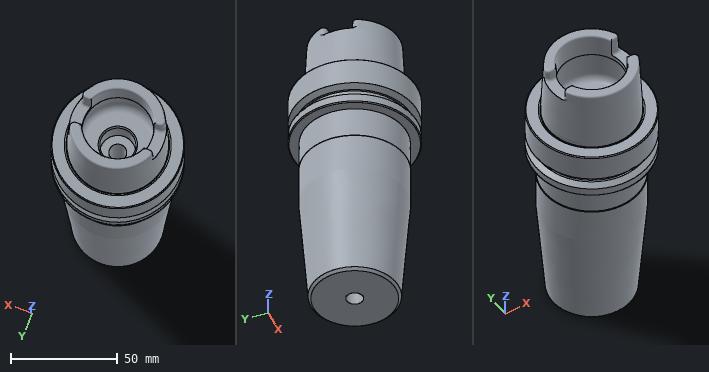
import cadquery as cq
import math

shank_length = 32.0
tool_end_z = -120.0

taper_base_diameter = 48.3
taper_base_z = 2.2
taper_ratio = 1 / 10
shank_edge_fillet = 1.0

relief_diameter = 48.04
relief_slope_height = 1.4
face_recess_diameter = 50.4
face_recess_depth = 0.5
face_recess_slope_width = 0.8

flange_diameter = 63.0
flange_bottom_z = -26.0
flange_edge_chamfer = 0.5
groove_diameter = 55.0
groove_top_z = -14.4
groove_bottom_z = -21.3
groove_lip_diameter = 57.0
groove_flank_angle = 30.0

neck_diameter = 52.5
neck_bottom_z = -42.0
body_diameter = 53.0
body_step_height = 0.4
cone_top_z = -62.8
cone_end_diameter = 44.0
tool_end_chamfer = 1.3

mouth_diameter = 34.0
mouth_depth = 12.4
clamp_diameter = 40.0
clamp_angle = 30.0
bore_depth = 32.0
bore_floor_fillet = 4.0

counterbore_diameter = 17.0
counterbore_depth = 12.0
counterbore_mouth_diameter = 18.5
through_diameter = 8.4

slot_width = 12.54
slot_depth_minus_x = 6.0
slot_depth_plus_x = 10.0
slot_corner_radius = 2.3
slot_floor_fillet = 1.5


def taper_radius(z):
    """Shank radius at height z."""
    return (taper_base_diameter - (z - taper_base_z) * taper_ratio) / 2


def make_body():
    """Outer shape, revolved about Z."""
    base_radius = taper_base_diameter / 2
    recess_radius = face_recess_diameter / 2
    flange_radius = flange_diameter / 2
    groove_radius = groove_diameter / 2
    lip_radius = groove_lip_diameter / 2
    flank_height = (flange_radius - lip_radius) * math.tan(math.radians(groove_flank_angle))
    end_radius = cone_end_diameter / 2
    outline = [
        (0, shank_length),
        (taper_radius(shank_length), shank_length),
        (base_radius, taper_base_z),
        (relief_diameter / 2, taper_base_z - relief_slope_height),
        (relief_diameter / 2, -face_recess_depth),
        (recess_radius - face_recess_slope_width, -face_recess_depth),
        (recess_radius, 0),
        (flange_radius - flange_edge_chamfer, 0),
        (flange_radius, -flange_edge_chamfer),
        (flange_radius, groove_top_z),
        (lip_radius, groove_top_z - flank_height),
        (groove_radius, groove_top_z - flank_height),
        (groove_radius, groove_bottom_z + flank_height),
        (lip_radius, groove_bottom_z + flank_height),
        (flange_radius, groove_bottom_z),
        (flange_radius, flange_bottom_z + flange_edge_chamfer),
        (flange_radius - flange_edge_chamfer, flange_bottom_z),
        (neck_diameter / 2, flange_bottom_z),
        (neck_diameter / 2, neck_bottom_z),
        (body_diameter / 2, neck_bottom_z - body_step_height),
        (body_diameter / 2, cone_top_z),
        (end_radius, tool_end_z),
        (0, tool_end_z),
    ]
    body = cq.Workplane("XZ").polyline(outline).close().revolve(360, (0, 0, 0), (0, 1, 0))
    return body.faces("<Z").edges().chamfer(tool_end_chamfer)


def make_bore():
    """Clamping bore, coolant counterbore and through hole, revolved about Z."""
    mouth_radius = mouth_diameter / 2
    clamp_radius = clamp_diameter / 2
    mouth_bottom_z = shank_length - mouth_depth
    clamp_top_z = mouth_bottom_z - (clamp_radius - mouth_radius) * math.tan(math.radians(clamp_angle))
    floor_z = shank_length - bore_depth
    arc_center_r = clamp_radius - bore_floor_fillet
    arc_center_z = floor_z + bore_floor_fillet
    arc_offset = bore_floor_fillet * math.sqrt(0.5)
    counterbore_radius = counterbore_diameter / 2
    counterbore_mouth_radius = counterbore_mouth_diameter / 2
    counterbore_chamfer = counterbore_mouth_radius - counterbore_radius
    through_radius = through_diameter / 2
    profile = (
        cq.Workplane("XZ")
        .moveTo(0, shank_length)
        .lineTo(mouth_radius, shank_length)
        .lineTo(mouth_radius, mouth_bottom_z)
        .lineTo(clamp_radius, clamp_top_z)
        .lineTo(clamp_radius, arc_center_z)
        .threePointArc((arc_center_r + arc_offset, arc_center_z - arc_offset), (arc_center_r, floor_z))
        .lineTo(counterbore_mouth_radius, floor_z)
        .lineTo(counterbore_radius, floor_z - counterbore_chamfer)
        .lineTo(counterbore_radius, floor_z - counterbore_depth)
        .lineTo(through_radius, floor_z - counterbore_depth)
        .lineTo(through_radius, tool_end_z)
        .lineTo(0, tool_end_z)
        .close()
    )
    return profile.revolve(360, (0, 0, 0), (0, 1, 0))


def cut_slot(part, depth, side):
    """Cut one drive slot, round its upright outer edges and fillet its floor along the walls."""
    reach = flange_diameter / 2
    half_width = slot_width / 2
    floor_z = shank_length - depth
    middle_z = shank_length - depth / 2
    shank_radius = taper_radius(middle_z)
    edge_x = side * math.sqrt(shank_radius**2 - half_width**2)
    wall_x = side * (mouth_diameter / 2)
    cutter = cq.Workplane("XY", origin=(side * reach / 2, 0, floor_z)).box(
        reach, slot_width, depth, centered=(True, True, False)
    )
    part = part.cut(cutter)
    for wall_y in (-half_width, half_width):
        upright_edge = cq.selectors.NearestToPointSelector((edge_x, wall_y, middle_z))
        part = part.edges(upright_edge).fillet(slot_corner_radius)
    for wall_y in (-half_width, half_width):
        floor_edge = cq.selectors.NearestToPointSelector((wall_x, wall_y, floor_z))
        part = part.edges(floor_edge).fillet(slot_floor_fillet)
    return part


result = make_body().cut(make_bore())
result = cut_slot(result, slot_depth_plus_x, 1)
result = cut_slot(result, slot_depth_minus_x, -1)
result = result.faces(">Z").edges().fillet(shank_edge_fillet)